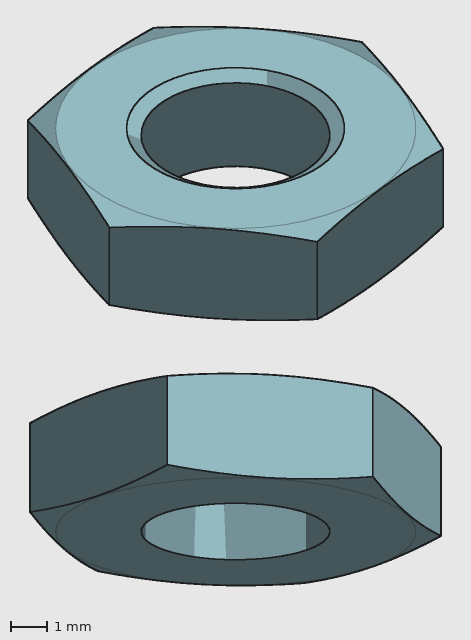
import cadquery as cq
import math

across_corners = 11.55
height = 3.0
face_diameter = 9.93
corner_bevel_angle = 15.0
bore_diameter = 5.2
countersink_diameter = 6.01
countersink_angle = 30.0

corner_radius = across_corners / 2
face_radius = face_diameter / 2
bevel_height = (corner_radius - face_radius) * math.tan(math.radians(corner_bevel_angle))
countersink_width = (countersink_diameter - bore_diameter) / 2
countersink_depth = countersink_width * math.tan(math.radians(countersink_angle))


def bevelled_envelope():
    """Round blank with conical ends; it trims the corners of the hexagon."""
    profile = [
        (0, 0),
        (face_radius, 0),
        (corner_radius, bevel_height),
        (corner_radius, height - bevel_height),
        (face_radius, height),
        (0, height),
    ]
    return cq.Workplane("XZ").polyline(profile).close().revolve(360, (0, 0), (0, 1))


def countersunk_bore():
    """Through bore with a conical countersink at the top end only."""
    bore_radius = bore_diameter / 2
    mouth_radius = countersink_diameter / 2
    profile = [
        (0, 0),
        (bore_radius, 0),
        (bore_radius, height - countersink_depth),
        (mouth_radius, height),
        (0, height),
    ]
    return cq.Workplane("XZ").polyline(profile).close().revolve(360, (0, 0), (0, 1))


hexagon = cq.Workplane("XY").polygon(6, across_corners).extrude(height)
result = hexagon.intersect(bevelled_envelope()).cut(countersunk_bore())